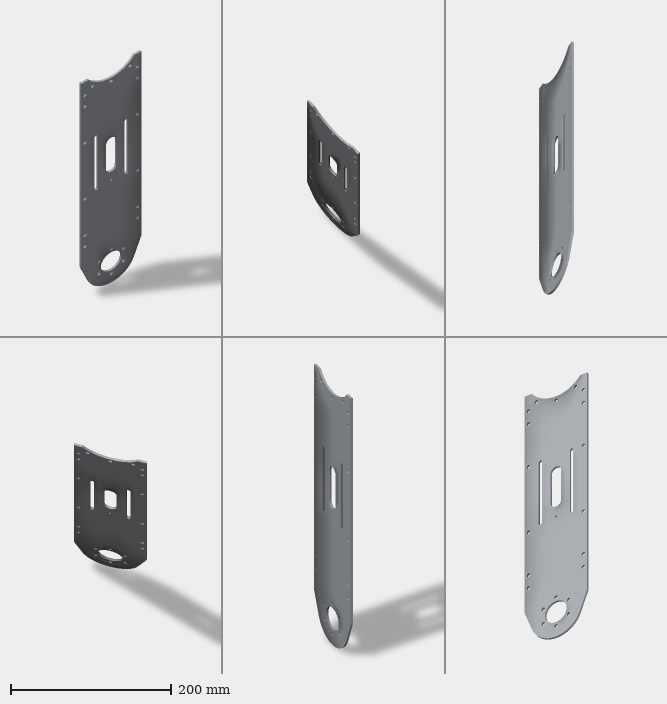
import cadquery as cq
import math

length = 385.5
width = 94.0
thickness = 3.0
half_width = width / 2

end_radius = 38.0
shoulder_height = 54.5
bore_diameter = 32.0
bore_bolt_radius = 22.0
bore_bolt_count = 6

notch_radius = 45.0
notch_depth = 18.0
notch_bolt_radius = 51.3
notch_bolt_angle = 35
notch_center_height = length - notch_depth + notch_radius

screw_diameter = 5.0
edge_hole_offset = 41.3
edge_hole_middle = 226.0
edge_hole_distances = (50.0, 115.7, 135.5)

slot_middle = 229.5
side_slot_offset = 23.5
side_slot_length = 98.0
side_slot_width = 5.0
central_slot_length = 61.0
central_slot_width = 16.0
pilot_diameter = 3.0
pilot_height = 183.5


def make_blank():
    """Plate whose slanted lower sides run tangent into the rounded end."""
    shoulder_rise = shoulder_height - end_radius
    shoulder_distance = math.hypot(half_width, shoulder_rise)
    tangent_angle = math.atan2(shoulder_rise, half_width) - math.acos(end_radius / shoulder_distance)
    tangent_y = end_radius * math.cos(tangent_angle)
    tangent_z = end_radius + end_radius * math.sin(tangent_angle)
    return (
        cq.Workplane("YZ")
        .moveTo(-half_width, length)
        .lineTo(-half_width, shoulder_height)
        .lineTo(-tangent_y, tangent_z)
        .threePointArc((0, 0), (tangent_y, tangent_z))
        .lineTo(half_width, shoulder_height)
        .lineTo(half_width, length)
        .close()
        .extrude(thickness / 2, both=True)
    )


def round_cutters(points, diameter):
    """Cylinders through the plate at the given (Y, Z) points."""
    return cq.Workplane("YZ").pushPoints(points).circle(diameter / 2).extrude(thickness, both=True)


def slot_cutters(offsets, slot_length, slot_width):
    """Vertical round-ended slots at the given Y offsets."""
    points = [(y, slot_middle) for y in offsets]
    return (
        cq.Workplane("YZ")
        .pushPoints(points)
        .slot2D(slot_length, slot_width, 90)
        .extrude(thickness, both=True)
    )


def polar_point(center_height, radius, angle):
    """(Y, Z) point on a centreline circle, with the angle measured from straight down."""
    turn = math.radians(angle)
    return (radius * math.sin(turn), center_height - radius * math.cos(turn))


edge_holes = [
    (side * edge_hole_offset, edge_hole_middle + direction * distance)
    for side in (-1, 1)
    for direction in (-1, 1)
    for distance in edge_hole_distances
]
bore_bolts = [
    polar_point(end_radius, bore_bolt_radius, index * 360 / bore_bolt_count)
    for index in range(bore_bolt_count)
]
notch_bolts = [
    polar_point(notch_center_height, notch_bolt_radius, angle)
    for angle in (-notch_bolt_angle, 0, notch_bolt_angle)
]

result = (
    make_blank()
    .cut(round_cutters([(0, notch_center_height)], 2 * notch_radius))
    .cut(round_cutters([(0, end_radius)], bore_diameter))
    .cut(round_cutters(edge_holes + bore_bolts + notch_bolts, screw_diameter))
    .cut(slot_cutters((-side_slot_offset, side_slot_offset), side_slot_length, side_slot_width))
    .cut(slot_cutters((0,), central_slot_length, central_slot_width))
    .cut(round_cutters([(0, pilot_height)], pilot_diameter))
)